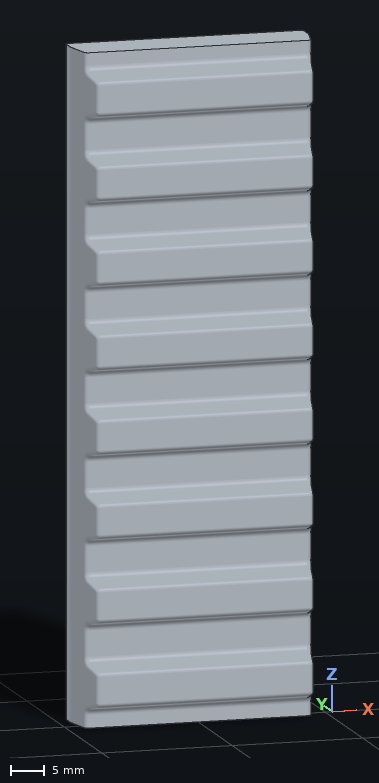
import cadquery as cq
import math

length = 101.6
width = 36.5
depth = 11.4

straight_wall = 2.8
wall_lean = 11.0
wall_bend_radius = 3.7
back_edge_radius = 0.6

tooth_count = 8
pitch = length / tooth_count
valley_depth = 7.6
tip_width = 5.2
flank_angle = 15.0
root_radius = 1.0
edge_radius = 0.7

margin = 0.1

tooth_height = depth - valley_depth
half_tip = tip_width / 2
half_root = half_tip + tooth_height * math.tan(math.radians(flank_angle))
half_width = width / 2
wall_inset = (depth - straight_wall) * math.tan(math.radians(wall_lean))
half_front = half_width - wall_inset


def make_body():
    """Bar with leaning side walls, running along Z."""
    body = (
        cq.Workplane("XY")
        .polyline(
            [
                (-half_width, 0),
                (half_width, 0),
                (half_width, -straight_wall),
                (half_front, -depth),
                (-half_front, -depth),
                (-half_width, -straight_wall),
            ]
        )
        .close()
        .extrude(length)
        .translate((0, 0, -length / 2))
    )
    wall_bends = cq.selectors.BoxSelector(
        (-width, -straight_wall - margin, -length), (width, -straight_wall + margin, length)
    )
    body = body.edges("|Z").edges(wall_bends).fillet(wall_bend_radius)
    return body.edges("|Z and >Y").fillet(back_edge_radius)


def make_tooth_rack():
    """Toothed outline in the YZ plane, with rounded roots, wider than the bar."""
    points = [(0, -length / 2), (-valley_depth, -length / 2)]
    for index in range(tooth_count):
        center = (index + 0.5) * pitch - length / 2
        points += [
            (-valley_depth, center - half_root),
            (-depth, center - half_tip),
            (-depth, center + half_tip),
            (-valley_depth, center + half_root),
        ]
    points += [(-valley_depth, length / 2), (0, length / 2)]
    rack = cq.Workplane("YZ").polyline(points).close().extrude(width, both=True)
    roots = cq.selectors.BoxSelector(
        (-width, -valley_depth - margin, -length / 2 + margin),
        (width, -valley_depth + margin, length / 2 - margin),
    )
    return rack.edges("|X").edges(roots).fillet(root_radius)


def round_front_edges(part):
    """Round the tooth tips and the toothed outline along both side walls."""
    front = cq.selectors.BoxSelector(
        (-width, -depth - margin, -length / 2 + margin),
        (width, -valley_depth + margin, length / 2 - margin),
    )
    tips = part.edges("<Y")
    outline = part.edges(front).edges("not |X")
    return part.newObject(tips.vals() + outline.vals()).fillet(edge_radius)


toothed_bar = make_body().intersect(make_tooth_rack())
result = round_front_edges(toothed_bar)